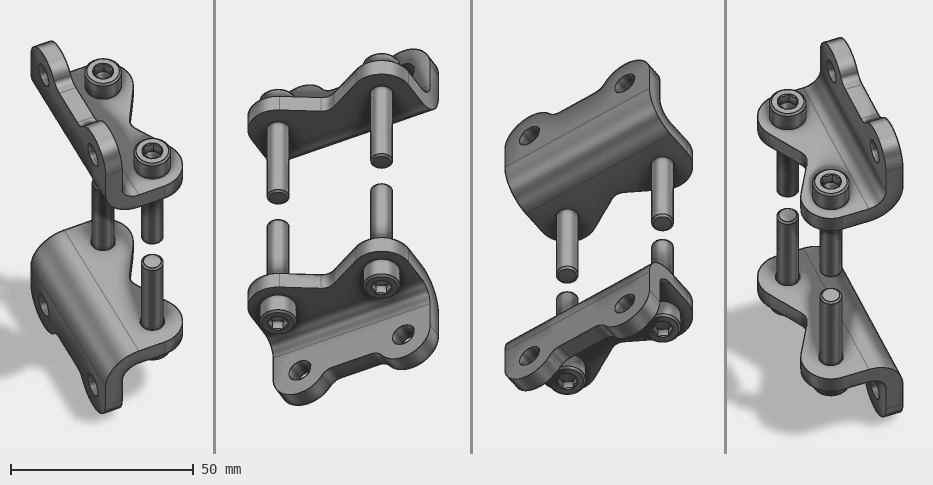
import cadquery as cq
import math

total_height = 112.5
bracket_width = 48.5
leg_length = 26.2
half_width = bracket_width / 2
plate_bottom = total_height / 2 - leg_length

bend_outer_radius = 10.0
plate_thickness = bend_outer_radius / 2
bend_inner_radius = bend_outer_radius - plate_thickness

hole_spacing = 32.0
hole_diameter = 6.6
ear_x = hole_spacing / 2
ear_radius = half_width - ear_x
ear_reach = leg_length - ear_radius

flat_notch_depth = 5.3
notch_fillet = 4.0
vee_notch_slope = math.radians(30)

shank_radius = 6.0 / 2
shank_length = 30.0
shank_chamfer = 0.6
head_radius = 10.0 / 2
head_height = 6.0
head_chamfer = 0.6

socket_sides = 6
socket_across_flats = 5.0
socket_depth = 3.0
socket_cone_depth = 1.5
socket_flat_radius = socket_across_flats / 2
socket_corner_radius = socket_flat_radius / math.cos(math.pi / socket_sides)
socket_mouth_chamfer = socket_corner_radius - socket_flat_radius


def start_leg_outline(plane, rim_end):
    """Right-hand side of a leg, from the outer corner line round the ear to rim_end."""
    return (
        cq.Workplane(plane)
        .moveTo(half_width, 0)
        .lineTo(half_width, ear_reach)
        .threePointArc((ear_x, leg_length), rim_end)
    )


def finish_leg_outline(outline):
    """Left-hand side of a leg, from the inner end of the ear arc back to the start."""
    return (
        outline
        .threePointArc((-ear_x, leg_length), (-half_width, ear_reach))
        .lineTo(-half_width, 0)
        .close()
    )


def upright_leg_prism():
    """Upright leg outline: ears blended into a flat-bottomed notch, extruded along +Y."""
    notch_floor = leg_length - flat_notch_depth
    fillet_height = notch_floor + notch_fillet

    rise = fillet_height - ear_reach
    centre_distance = ear_radius + notch_fillet
    run = math.sqrt(centre_distance**2 - rise**2)
    fillet_x = ear_x - run
    rim_x = ear_x - run * ear_radius / centre_distance
    rim_height = ear_reach + rise * ear_radius / centre_distance

    contact_angle = math.atan2(rim_height - fillet_height, rim_x - fillet_x)
    floor_angle = -math.pi / 2
    middle_angle = (contact_angle + floor_angle) / 2
    middle_x = fillet_x + notch_fillet * math.cos(middle_angle)
    middle_height = fillet_height + notch_fillet * math.sin(middle_angle)

    outline = (
        start_leg_outline("XZ", (rim_x, rim_height))
        .threePointArc((middle_x, middle_height), (fillet_x, notch_floor))
        .lineTo(-fillet_x, notch_floor)
        .threePointArc((-middle_x, middle_height), (-rim_x, rim_height))
    )
    return finish_leg_outline(outline).extrude(-leg_length)


def flat_leg_prism():
    """Flat leg outline: straight flanks tangent to the ears meet in a rounded vee, extruded along +Z."""
    rim_x = ear_x - ear_radius * math.sin(vee_notch_slope)
    rim_reach = ear_reach + ear_radius * math.cos(vee_notch_slope)
    apex_reach = rim_reach - rim_x * math.tan(vee_notch_slope)

    fillet_reach = apex_reach + notch_fillet / math.cos(vee_notch_slope)
    flank_end_x = notch_fillet * math.sin(vee_notch_slope)
    flank_end_reach = fillet_reach - notch_fillet * math.cos(vee_notch_slope)

    outline = (
        start_leg_outline("XY", (rim_x, rim_reach))
        .lineTo(flank_end_x, flank_end_reach)
        .threePointArc((0, fillet_reach - notch_fillet), (-flank_end_x, flank_end_reach))
        .lineTo(-rim_x, rim_reach)
    )
    return finish_leg_outline(outline).extrude(leg_length)


def bent_plate():
    """L-shaped plate with a rounded bend, extruded across the bracket width."""
    return (
        cq.Workplane("YZ")
        .moveTo(leg_length, 0)
        .lineTo(bend_outer_radius, 0)
        .radiusArc((0, bend_outer_radius), bend_outer_radius)
        .lineTo(0, leg_length)
        .lineTo(plate_thickness, leg_length)
        .lineTo(plate_thickness, bend_outer_radius)
        .radiusArc((bend_outer_radius, plate_thickness), -bend_inner_radius)
        .lineTo(leg_length, plate_thickness)
        .close()
        .extrude(half_width, both=True)
    )


def hole_pair(plane, depth):
    """Two drills, one through each ear of a leg."""
    return (
        cq.Workplane(plane)
        .pushPoints([(-ear_x, ear_reach), (ear_x, ear_reach)])
        .circle(hole_diameter / 2)
        .extrude(depth)
    )


def make_bracket():
    """Upper angle bracket."""
    bracket = (
        bent_plate()
        .intersect(upright_leg_prism())
        .intersect(flat_leg_prism())
        .cut(hole_pair("XZ", -plate_thickness))
        .cut(hole_pair("XY", plate_thickness))
    )
    return bracket.translate((0, 0, plate_bottom))


def hex_socket():
    """Socket cavity with its mouth at the top of the head and two corners on the Y axis."""
    hexagon = (
        cq.Workplane("XY")
        .workplane(offset=head_height)
        .transformed(rotate=(0, 0, 90))
        .polygon(socket_sides, 2 * socket_corner_radius)
        .extrude(-socket_depth)
    )
    cone_bottom = cq.Solid.makeCone(
        socket_flat_radius,
        0,
        socket_cone_depth,
        pnt=cq.Vector(0, 0, head_height - socket_depth),
        dir=cq.Vector(0, 0, -1),
    )
    mouth = cq.Solid.makeCone(
        socket_corner_radius,
        socket_flat_radius,
        socket_mouth_chamfer,
        pnt=cq.Vector(0, 0, head_height),
        dir=cq.Vector(0, 0, -1),
    )
    return hexagon.union(cone_bottom).union(mouth)


def make_screw(x):
    """Upper screw at the given X, its head seated on the flat leg and its shank pointing down."""
    head = (
        cq.Workplane("XY")
        .circle(head_radius)
        .extrude(head_height)
        .faces(">Z")
        .chamfer(head_chamfer)
    )
    shank = (
        cq.Workplane("XY")
        .circle(shank_radius)
        .extrude(-shank_length)
        .faces("<Z")
        .chamfer(shank_chamfer)
    )
    screw = head.union(shank).cut(hex_socket())
    return screw.translate((x, ear_reach, plate_bottom + plate_thickness))


upper_bracket = make_bracket()
lower_bracket = upper_bracket.mirror("XY")

screws = []
for screw_x in (-ear_x, ear_x):
    upper_screw = make_screw(screw_x)
    screws.append(upper_screw.val())
    screws.append(upper_screw.mirror("XY").val())

result = cq.Compound.makeCompound([upper_bracket.val(), lower_bracket.val(), *screws])